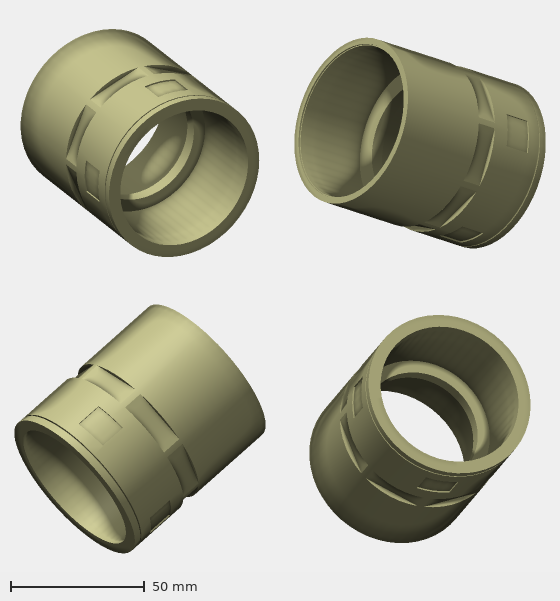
import cadquery as cq
import math

length = 69.0
outer_diameter = 64.0

mouth_diameter = 59.2
mouth_depth = 0.7
bore_diameter = 58.5
bore_depth = 30.35
web_diameter = 45.0
web_thickness = 5.1
rear_bore_diameter = 54.5

groove_start = 65.55
groove_width = 0.55
groove_diameter = 62.0

flat_count = 8
flat_start = 35.5
flat_width = 8.0
across_flats = 60.0

pocket_count = 4
pocket_start = 49.95
pocket_length = 10.55
pocket_width = 12.8
pocket_floor_diameter = 62.85

cutter_margin = 3.45
cutter_reach = outer_diameter / 2 + cutter_margin


def cylinder(start, size, diameter):
    """Solid cylinder on the X axis, beginning at X = start."""
    return cq.Workplane("YZ").workplane(offset=start).circle(diameter / 2).extrude(size)


def radial_block(start, size, width, inner_height):
    """Block on the +Z side, from inner_height out past the outer surface."""
    return cq.Workplane("XY").box(
        size, width, cutter_reach - inner_height, centered=(False, True, False)
    ).translate((start, 0, inner_height))


def cut_around(body, cutter, count, first_angle):
    """Cut equally spaced copies of a cutter around the X axis."""
    for index in range(count):
        angle = first_angle + index * 360 / count
        body = body.cut(cutter.rotate((0, 0, 0), (1, 0, 0), angle))
    return body


rear_bore_start = bore_depth + web_thickness
result = cylinder(0, length, outer_diameter)
result = result.cut(cylinder(0, mouth_depth, mouth_diameter))
result = result.cut(cylinder(0, bore_depth, bore_diameter))
result = result.cut(cylinder(0, length, web_diameter))
result = result.cut(cylinder(rear_bore_start, length - rear_bore_start, rear_bore_diameter))

groove = cylinder(groove_start, groove_width, 2 * cutter_reach)
groove = groove.cut(cylinder(groove_start, groove_width, groove_diameter))
result = result.cut(groove)

flat_chord = math.sqrt(outer_diameter**2 - across_flats**2)
flat_cutter = radial_block(flat_start, flat_width, flat_chord, across_flats / 2)
result = cut_around(result, flat_cutter, flat_count, 180 / flat_count)

pocket_cutter = radial_block(pocket_start, pocket_length, pocket_width, 0)
pocket_cutter = pocket_cutter.cut(cylinder(pocket_start, pocket_length, pocket_floor_diameter))
result = cut_around(result, pocket_cutter, pocket_count, 0)